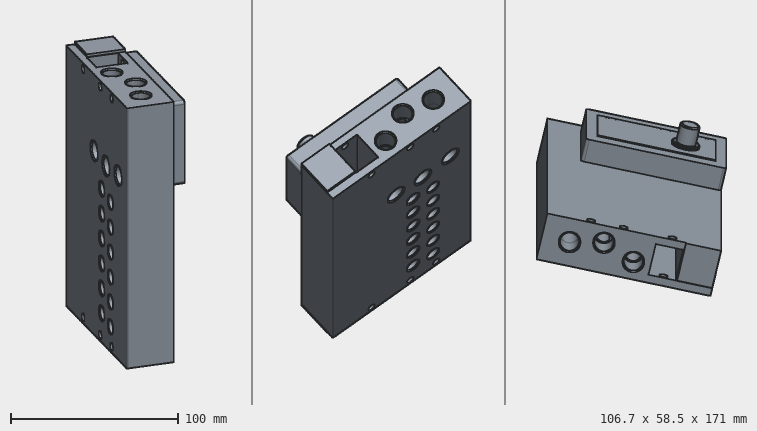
import cadquery as cq


body_width = 106.7
body_depth = 30.0
total_height = 171.0
top_cap_height = 1.7
bottom_cap_height = 1.2
body_bottom = bottom_cap_height
body_top = total_height - top_cap_height
body_height = body_top - body_bottom
edge_fillet = 0.5
cap_left = 0.2
cap_width = 21.5
cap_front = 5.5

channel_left = 22.4
channel_width = 16.8
channel_front = 5.1
channel_depth = 20.0

mount_diameter = 5.0
mount_edge_distance = 4.0
mount_xs = (30.0, 59.8, 79.9)

port_diameter = 11.5
port_mouth_diameter = 13.2
passage_diameter = 9.5
end_port_depth = 15.0
left_port = (49.8, 11.1)
middle_port = (69.6, 19.2)
right_port = (89.8, 15.0)
middle_passage_width = 7.7
front_ports = (
    (48.9, 49.5, 13.9),
    (69.6, 51.3, 9.5),
    (90.8, 49.5, 8.9),
)

outlet_pitch = 16.0
outlets_per_column = 6
outlet_depth = 9.5
outlet_diameter = 8.5
outlet_columns = (
    (62.0, 68.9, 10.1),
    (77.5, 71.8, 9.5),
)

housing_left = 0.2
housing_width = 86.0
housing_depth = 14.4
housing_height = 53.7
housing_bottom = 106.4
housing_fillet = 1.9
cover_left = 6.8
cover_width = 72.5
cover_height = 35.4
cover_thickness = 0.7
total_depth = 58.5
connector_x = 25.5
connector_z = 130.5
connector_diameter = 12.0
connector_chamfer = 0.9
collar_diameter = 17.0
collar_thickness = 1.7
collar_chamfer = 0.7

housing_back = body_depth + housing_depth
cover_back = housing_back + cover_thickness
housing_mid_z = housing_bottom + housing_height / 2


def box(x, y, z, width, depth, height):
    """Box from its left, front, bottom corner."""
    return cq.Workplane("XY").box(width, depth, height, centered=False).translate((x, y, z))


def front_hole(x, z, diameter, depth):
    """Cylinder running from the front face toward the back."""
    mouth_center = cq.Vector(x, 0, z)
    axis = cq.Vector(0, 1, 0)
    return cq.Workplane(cq.Solid.makeCylinder(diameter / 2, depth, mouth_center, axis))


def countersink(origin, direction, mouth_diameter, diameter):
    """45 degree cone that widens a hole to its mouth."""
    cone_depth = (mouth_diameter - diameter) / 2
    mouth_center = cq.Vector(*origin)
    axis = cq.Vector(*direction)
    return cq.Workplane(cq.Solid.makeCone(mouth_diameter / 2, diameter / 2, cone_depth, mouth_center, axis))


def front_port(x, z, diameter, mouth_diameter, depth):
    """Blind countersunk hole in the front face."""
    mouth = countersink((x, 0, z), (0, 1, 0), mouth_diameter, diameter)
    return front_hole(x, z, diameter, depth).union(mouth)


def end_ports(x, y):
    """Matching countersunk ports in the top and bottom faces."""
    ports = []
    for z, direction in ((body_top, -1), (body_bottom, 1)):
        axis = cq.Vector(0, 0, direction)
        bore = cq.Solid.makeCylinder(port_diameter / 2, end_port_depth, cq.Vector(x, y, z), axis)
        mouth = countersink((x, y, z), (0, 0, direction), port_mouth_diameter, port_diameter)
        ports.append(mouth.union(cq.Workplane(bore)))
    return ports


def vertical_passage(x, y, diameter):
    """Cylinder through the full height of the body."""
    return cq.Workplane("XY", origin=(x, y, body_bottom)).circle(diameter / 2).extrude(body_height)


body = box(0, 0, body_bottom, body_width, body_depth, body_height)
body = body.edges("|Z").edges("<Y or <X").fillet(edge_fillet)
cap_bar = box(cap_left, cap_front, 0, cap_width, body_depth - cap_front, total_height)
body = body.union(cap_bar)

housing = box(housing_left, body_depth, housing_bottom, housing_width, housing_depth, housing_height)
housing = housing.edges("|Y").fillet(housing_fillet)
cover = box(cover_left, housing_back, housing_mid_z - cover_height / 2, cover_width, cover_thickness, cover_height)
connector_base = cq.Workplane("XZ", origin=(connector_x, cover_back, connector_z))
collar = connector_base.circle(collar_diameter / 2).extrude(-collar_thickness)
collar = collar.faces(">Y").chamfer(collar_chamfer)
connector = connector_base.circle(connector_diameter / 2).extrude(cover_back - total_depth)
connector = connector.faces(">Y").chamfer(connector_chamfer)
body = body.union(housing).union(cover).union(collar).union(connector)

body = body.cut(box(channel_left, channel_front, 0, channel_width, channel_depth, total_height))
for mount_x in mount_xs:
    for mount_z in (body_bottom + mount_edge_distance, body_top - mount_edge_distance):
        body = body.cut(front_hole(mount_x, mount_z, mount_diameter, body_depth))

for port in (left_port, middle_port, right_port):
    for end_port in end_ports(*port):
        body = body.cut(end_port)
middle_slot = box(
    middle_port[0] - middle_passage_width / 2, 0, body_bottom, middle_passage_width, body_depth, body_height
)
body = body.cut(vertical_passage(*left_port, passage_diameter))
body = body.cut(vertical_passage(*middle_port, passage_diameter).intersect(middle_slot))
body = body.cut(vertical_passage(*right_port, port_diameter))

for port_x, drop, port_depth in front_ports:
    body = body.cut(front_port(port_x, body_top - drop, port_diameter, port_mouth_diameter, port_depth))
for outlet_x, first_drop, mouth_diameter in outlet_columns:
    for row in range(outlets_per_column):
        outlet_z = body_top - first_drop - row * outlet_pitch
        body = body.cut(front_port(outlet_x, outlet_z, outlet_diameter, mouth_diameter, outlet_depth))

result = body